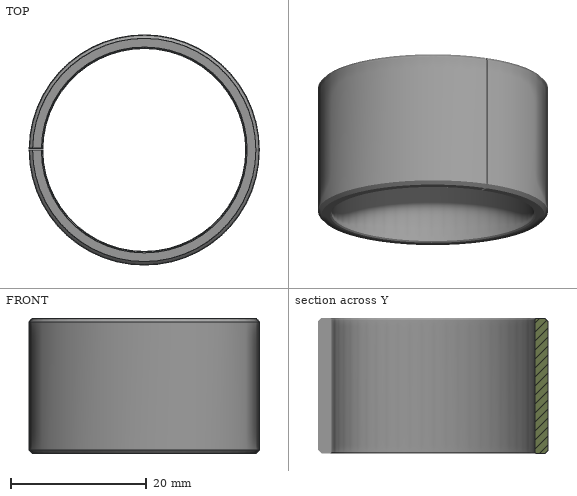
import cadquery as cq

outer_diameter = 34.0
bore_diameter = 30.0
height = 20.0
outer_chamfer = 0.5
bore_chamfer = 0.2
slit_width = 0.25

outer_radius = outer_diameter / 2
bore_radius = bore_diameter / 2


def chamfered_cylinder(radius, chamfer):
    """Solid of the given radius with both end edges chamfered.

    A positive chamfer narrows the ends; a negative one flares them.
    """
    leg = abs(chamfer)
    end_radius = radius - chamfer
    profile = [
        (0, 0),
        (end_radius, 0),
        (radius, leg),
        (radius, height - leg),
        (end_radius, height),
        (0, height),
    ]
    return cq.Workplane("XZ").polyline(profile).close().revolve(360, (0, 0), (0, 1))


body = chamfered_cylinder(outer_radius, outer_chamfer)
bore = chamfered_cylinder(bore_radius, -bore_chamfer)
ring = body.cut(bore)

slit = cq.Workplane("XY").box(outer_radius, slit_width, height, centered=False)
slit = slit.translate((-outer_radius, 0, 0))

result = ring.cut(slit)